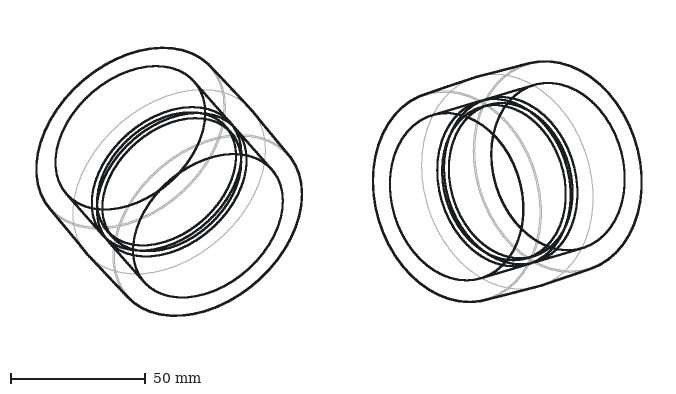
import cadquery as cq

length = 60.5
crown_diameter = 81.0
end_diameter = 79.55
socket_diameter = 63.0
stop_diameter = 58.5
stop_width = 4.05
edge_rounding = 0.4

half_length = length / 2
crown_radius = crown_diameter / 2
end_radius = end_diameter / 2


def sleeve():
    """Solid barrel of two shallow cones that meet at the largest diameter at mid-length."""
    profile = (
        cq.Workplane("XY")
        .moveTo(-half_length, 0)
        .lineTo(-half_length, end_radius)
        .lineTo(0, crown_radius)
        .lineTo(half_length, end_radius)
        .lineTo(half_length, 0)
        .close()
    )
    barrel = profile.revolve(360, (0, 0, 0), (1, 0, 0))
    return barrel.faces("<X or >X").edges().fillet(edge_rounding)


def bore(diameter, start, depth):
    """Cylinder along X used to cut an opening."""
    return cq.Workplane("YZ", origin=(start, 0, 0)).circle(diameter / 2).extrude(depth)


socket_depth = (length - stop_width) / 2
result = sleeve().cut(bore(stop_diameter, -half_length, length))
for socket_start in (-half_length, stop_width / 2):
    result = result.cut(bore(socket_diameter, socket_start, socket_depth))